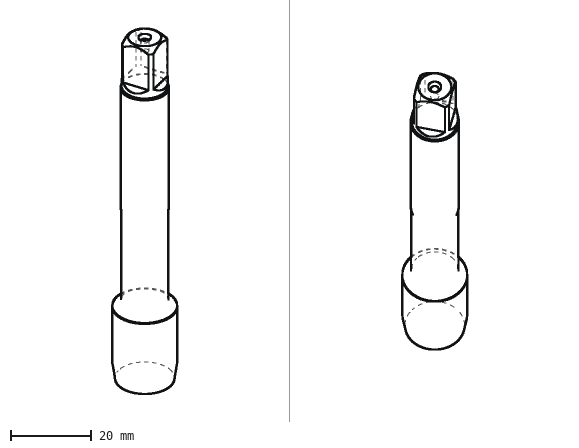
import cadquery as cq
import math

TOTAL_LENGTH = 100.0

HEAD_DIAMETER = 16.1
HEAD_TIP_DIAMETER = 14.8
LEAD_LENGTH = 4.6
HEAD_LENGTH = 21.0

SHOULDER_RIM_HEIGHT = 0.3
SHOULDER_ANGLE = 30.0

NECK_DIAMETER = 11.7
NECK_FILLET_RADIUS = 1.3
NECK_END = 49.6
SHANK_DIAMETER = 12.0
SHANK_START = 50.1
SHANK_END = 85.3

DRIVE_DIAMETER = 11.5
DRIVE_STEP_HEIGHT = 0.4
DRIVE_ACROSS_FLATS = 9.0
FLAT_BOTTOM = 88.1
RUN_OUT_ANGLE = 45.0
DRIVE_TOP_DIAMETER = 8.2
DRIVE_CHAMFER_HEIGHT = 1.5

CENTRE_DIAMETER = 2.0
CENTRE_MOUTH_DIAMETER = 3.2
COUNTERSINK_ANGLE = 60.0
CENTRE_DEPTH = 4.0
DRILL_POINT_ANGLE = 120.0


def make_head():
    """Cylindrical head with a tapered lead at its tip."""
    radius = HEAD_DIAMETER / 2
    return (
        cq.Workplane("XZ")
        .lineTo(HEAD_TIP_DIAMETER / 2, 0)
        .lineTo(radius, LEAD_LENGTH)
        .lineTo(radius, HEAD_LENGTH)
        .lineTo(0, HEAD_LENGTH)
        .close()
        .revolve(360, (0, 0), (0, 1))
    )


def make_turned_shank():
    """Shoulder, neck, shank and round drive end as one turned profile."""
    head_radius = HEAD_DIAMETER / 2
    neck_radius = NECK_DIAMETER / 2
    shank_radius = SHANK_DIAMETER / 2
    drive_radius = DRIVE_DIAMETER / 2
    drive_top_radius = DRIVE_TOP_DIAMETER / 2
    rim_top = HEAD_LENGTH + SHOULDER_RIM_HEIGHT
    slope = math.radians(SHOULDER_ANGLE)
    cone_top_radius = neck_radius + NECK_FILLET_RADIUS * (1 - math.sin(slope))
    cone_top = rim_top + (head_radius - cone_top_radius) * math.tan(slope)
    fillet_top = cone_top + NECK_FILLET_RADIUS * math.cos(slope)
    return (
        cq.Workplane("XZ")
        .moveTo(0, HEAD_LENGTH)
        .lineTo(head_radius, HEAD_LENGTH)
        .lineTo(head_radius, rim_top)
        .lineTo(cone_top_radius, cone_top)
        .tangentArcPoint((neck_radius, fillet_top), relative=False)
        .lineTo(neck_radius, NECK_END)
        .lineTo(shank_radius, SHANK_START)
        .lineTo(shank_radius, SHANK_END)
        .lineTo(drive_radius, SHANK_END + DRIVE_STEP_HEIGHT)
        .lineTo(drive_radius, TOTAL_LENGTH - DRIVE_CHAMFER_HEIGHT)
        .lineTo(drive_top_radius, TOTAL_LENGTH)
        .lineTo(0, TOTAL_LENGTH)
        .close()
        .revolve(360, (0, 0), (0, 1))
    )


def make_flat_cutter():
    """Prism that cuts one drive flat, with a sloped run-out at its lower end."""
    flat = DRIVE_ACROSS_FLATS / 2
    reach = SHANK_DIAMETER
    run_out_drop = (reach - flat) * math.tan(math.radians(RUN_OUT_ANGLE))
    return (
        cq.Workplane("XZ")
        .moveTo(flat, FLAT_BOTTOM)
        .lineTo(reach, FLAT_BOTTOM - run_out_drop)
        .lineTo(reach, TOTAL_LENGTH)
        .lineTo(flat, TOTAL_LENGTH)
        .close()
        .extrude(reach, both=True)
    )


def make_centre_hole():
    """Countersunk centre hole with a drill point at the bottom."""
    radius = CENTRE_DIAMETER / 2
    mouth_radius = CENTRE_MOUTH_DIAMETER / 2
    sink_depth = (mouth_radius - radius) / math.tan(math.radians(COUNTERSINK_ANGLE / 2))
    floor = TOTAL_LENGTH - CENTRE_DEPTH
    point_depth = radius / math.tan(math.radians(DRILL_POINT_ANGLE / 2))
    return (
        cq.Workplane("XZ")
        .moveTo(0, floor - point_depth)
        .lineTo(radius, floor)
        .lineTo(radius, TOTAL_LENGTH - sink_depth)
        .lineTo(mouth_radius, TOTAL_LENGTH)
        .lineTo(0, TOTAL_LENGTH)
        .close()
        .revolve(360, (0, 0), (0, 1))
    )


def make_shank():
    """Turned shank with four drive flats and a centre hole."""
    shank = make_turned_shank()
    flat_cutter = make_flat_cutter()
    for angle in range(0, 360, 90):
        shank = shank.cut(flat_cutter.rotate((0, 0, 0), (0, 0, 1), angle))
    return shank.cut(make_centre_hole())


head = make_head()
shank = make_shank()

result = cq.Compound.makeCompound([head.val(), shank.val()])